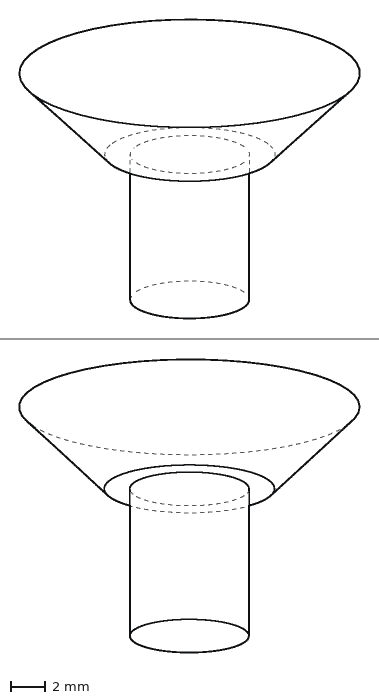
import cadquery as cq

head_diameter = 19.99
head_base_diameter = head_diameter / 2
stem_diameter = 7.0
total_height = 14.0

head_height = (head_diameter - head_base_diameter) / 2
stem_length = total_height - head_height

half_profile = [
    (0, 0),
    (stem_diameter / 2, 0),
    (stem_diameter / 2, stem_length),
    (head_base_diameter / 2, stem_length),
    (head_diameter / 2, total_height),
    (0, total_height),
]

result = (
    cq.Workplane("XZ")
    .polyline(half_profile)
    .close()
    .revolve(360, (0, 0, 0), (0, 1, 0))
)